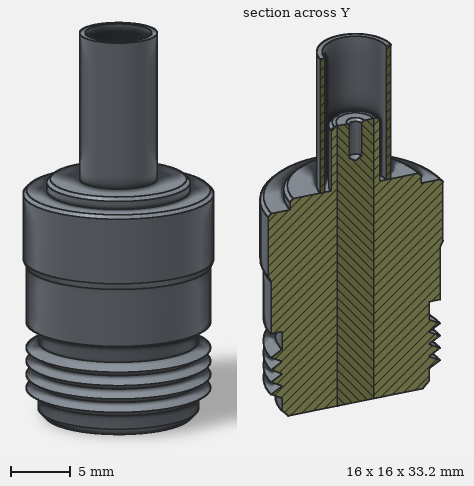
import cadquery as cq
import math


sleeve_top = 33.2
nose_chamfer_height = 0.63
thread_bottom = 1.8
thread_pitch = 1.15
thread_count = 4
shoulder_bottom = 8.1
rim_bottom = 13.05
rim_bevel_height = 0.55
rim_top = 19.52
collar_top = 20.52
post_top = 26.55

nose_end_radius = 6.15
neck_radius = 6.75
shoulder_radius = 7.75
rim_radius = 8.0
collar_radius = 6.0
top_chamfer = 0.3
post_radius = 2.25
post_chamfer = 0.3
bore_radius = 1.63

sleeve_outer_radius = 3.25
sleeve_inner_radius = 2.8

cup_mouth_radius = 0.75
cup_radius = 0.53
cup_chamfer_depth = cup_mouth_radius - cup_radius
cup_depth = 3.32
drill_point_angle = 118.0


def turned(profile):
    """Spin a closed (radius, height) profile around the Z axis."""
    return cq.Workplane("XZ").polyline(profile).close().revolve(360, (0, 0, 0), (0, 1, 0))


def thread_profile():
    """Ring-shaped V ridges, from the lowest root to the highest."""
    points = [(neck_radius, thread_bottom)]
    for ridge in range(thread_count):
        root = thread_bottom + ridge * thread_pitch
        points.append((shoulder_radius, root + thread_pitch / 2))
        points.append((neck_radius, root + thread_pitch))
    return points


def make_housing():
    """Threaded nose, shoulder, rim, collar and chamfered post, bored right through."""
    return turned([
        (bore_radius, 0),
        (nose_end_radius, 0),
        (neck_radius, nose_chamfer_height),
        *thread_profile(),
        (neck_radius, shoulder_bottom),
        (shoulder_radius, shoulder_bottom),
        (shoulder_radius, rim_bottom),
        (rim_radius, rim_bottom + rim_bevel_height),
        (rim_radius, rim_top - top_chamfer),
        (rim_radius - top_chamfer, rim_top),
        (collar_radius, rim_top),
        (collar_radius, collar_top - top_chamfer),
        (collar_radius - top_chamfer, collar_top),
        (post_radius, collar_top),
        (post_radius, post_top - post_chamfer),
        (post_radius - post_chamfer, post_top),
        (bore_radius, post_top),
    ])


def make_core():
    """Round core filling the bore, with a chamfered drilled cup in its top."""
    cup_floor = post_top - cup_depth
    drill_point_depth = cup_radius / math.tan(math.radians(drill_point_angle / 2))
    return turned([
        (0, 0),
        (bore_radius, 0),
        (bore_radius, post_top),
        (cup_mouth_radius, post_top),
        (cup_radius, post_top - cup_chamfer_depth),
        (cup_radius, cup_floor),
        (0, cup_floor - drill_point_depth),
    ])


def make_sleeve():
    """Plain tube standing on the collar, with a gap between it and the post."""
    return turned([
        (sleeve_inner_radius, collar_top),
        (sleeve_outer_radius, collar_top),
        (sleeve_outer_radius, sleeve_top),
        (sleeve_inner_radius, sleeve_top),
    ])


housing = make_housing()
core = make_core()
sleeve = make_sleeve()

result = cq.Compound.makeCompound([housing.val(), core.val(), sleeve.val()])